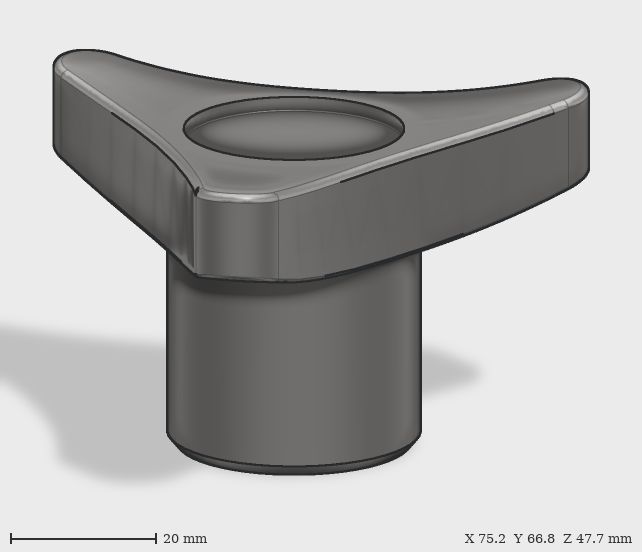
import cadquery as cq
import math

lobe_count = 3
lobe_tip_radius = 6.0
lobe_reach = 42.5
side_radius = 105.0
first_lobe_angle = 90.0

underside_land_z = 29.55
underside_land_radius = 9.0
underside_arc_radius = 93.0
underside_edge_fillet = 0.5
top_land_z = 45.0
top_arc_radius = 128.0
top_edge_fillet = 1.0

recess_floor_diameter = 30.0
recess_floor_fillet = 0.2
recess_depth = 2.0

stem_diameter = 35.0
stem_chamfer_height = 1.6
stem_chamfer_width = 1.35
stem_root_fillet = 0.8

lobe_center_distance = lobe_reach - lobe_tip_radius
lobe_spacing = 360.0 / lobe_count
half_spacing = math.radians(lobe_spacing / 2)
blank_height = top_land_z + lobe_reach / 2
recess_radius = recess_floor_diameter / 2 + recess_floor_fillet
top_land_radius = recess_radius
blank_radius = lobe_reach + lobe_tip_radius
half_chord = lobe_center_distance * math.sin(half_spacing)
center_span = side_radius + lobe_tip_radius
chord_distance = lobe_center_distance * math.cos(half_spacing)
side_center_distance = chord_distance + math.sqrt(center_span**2 - half_chord**2)
side_middle_distance = side_center_distance - side_radius


def polar(distance, angle):
    """Point at a given distance from the axis, in the direction of an angle in degrees."""
    return (distance * math.cos(math.radians(angle)), distance * math.sin(math.radians(angle)))


def tangent_point(lobe_angle, side_angle):
    """Point where a lobe tip arc meets a hollow side arc."""
    lobe_x, lobe_y = polar(lobe_center_distance, lobe_angle)
    side_x, side_y = polar(side_center_distance, side_angle)
    share = lobe_tip_radius / center_span
    return (lobe_x + share * (side_x - lobe_x), lobe_y + share * (side_y - lobe_y))


def grip_outline():
    """Closed outline of lobe tip arcs joined by hollow side arcs."""
    half = lobe_spacing / 2
    outline = cq.Workplane("XY").moveTo(*tangent_point(first_lobe_angle, first_lobe_angle - half))
    for index in range(lobe_count):
        angle = first_lobe_angle + index * lobe_spacing
        next_angle = angle + lobe_spacing
        side_angle = angle + half
        outline = outline.threePointArc(polar(lobe_reach, angle), tangent_point(angle, side_angle))
        outline = outline.threePointArc(
            polar(side_middle_distance, side_angle), tangent_point(next_angle, side_angle)
        )
    return outline.close()


def dish_height(land_z, land_radius, arc_radius, radius):
    """Height of a dished face at a given distance from the axis."""
    return land_z + arc_radius - math.sqrt(arc_radius**2 - (radius - land_radius) ** 2)


def dished_disc(land_z, land_radius, arc_radius):
    """Disc with a dished lower face, reaching up to the top of the blank."""
    middle_radius = (land_radius + blank_radius) / 2
    middle = (middle_radius, dish_height(land_z, land_radius, arc_radius, middle_radius))
    outer = (blank_radius, dish_height(land_z, land_radius, arc_radius, blank_radius))
    profile = cq.Workplane("XZ").moveTo(0, land_z).lineTo(land_radius, land_z)
    profile = profile.threePointArc(middle, outer).lineTo(blank_radius, blank_height)
    profile = profile.lineTo(0, blank_height).close()
    disc = profile.revolve(360, (0, 0), (0, 1))
    seam_x, seam_y = tangent_point(first_lobe_angle, first_lobe_angle - lobe_spacing / 2)
    return disc.rotate((0, 0, 0), (0, 0, 1), math.degrees(math.atan2(seam_y, seam_x)))


def make_grip():
    """Three-lobed grip between its two dished faces, with rounded edges."""
    underside_disc = dished_disc(underside_land_z, underside_land_radius, underside_arc_radius)
    top_disc = dished_disc(top_land_z, top_land_radius, top_arc_radius)
    grip = grip_outline().extrude(blank_height).intersect(underside_disc).cut(top_disc)
    rim_edges = grip.faces("%CYLINDER").edges("not |Z")
    grip_middle_z = (underside_land_z + top_land_z) / 2
    upper_edges = [edge for edge in rim_edges.vals() if edge.Center().z > grip_middle_z]
    lower_edges = [edge for edge in rim_edges.vals() if edge.Center().z < grip_middle_z]
    grip = grip.newObject(upper_edges).fillet(top_edge_fillet)
    return grip.newObject(lower_edges).fillet(underside_edge_fillet)


def add_stem(grip):
    """Join the stem to the grip and round the corner between them."""
    stem = cq.Workplane("XY").circle(stem_diameter / 2).extrude(top_land_z - recess_depth)
    stem = stem.faces("<Z").chamfer(stem_chamfer_height, stem_chamfer_width)
    body = grip.union(stem)
    root_z = dish_height(underside_land_z, underside_land_radius, underside_arc_radius, stem_diameter / 2)
    root_edge = cq.selectors.NearestToPointSelector((0, 0, root_z))
    return body.edges(root_edge).fillet(stem_root_fillet)


def cut_recess(body):
    """Shallow round recess in the top face, with a rounded floor corner."""
    plug = cq.Workplane("XY").workplane(offset=top_land_z - recess_depth).circle(recess_radius)
    plug = plug.extrude(blank_height - top_land_z)
    plug = plug.faces("<Z").edges().fillet(recess_floor_fillet)
    return body.cut(plug)


result = cut_recess(add_stem(make_grip()))